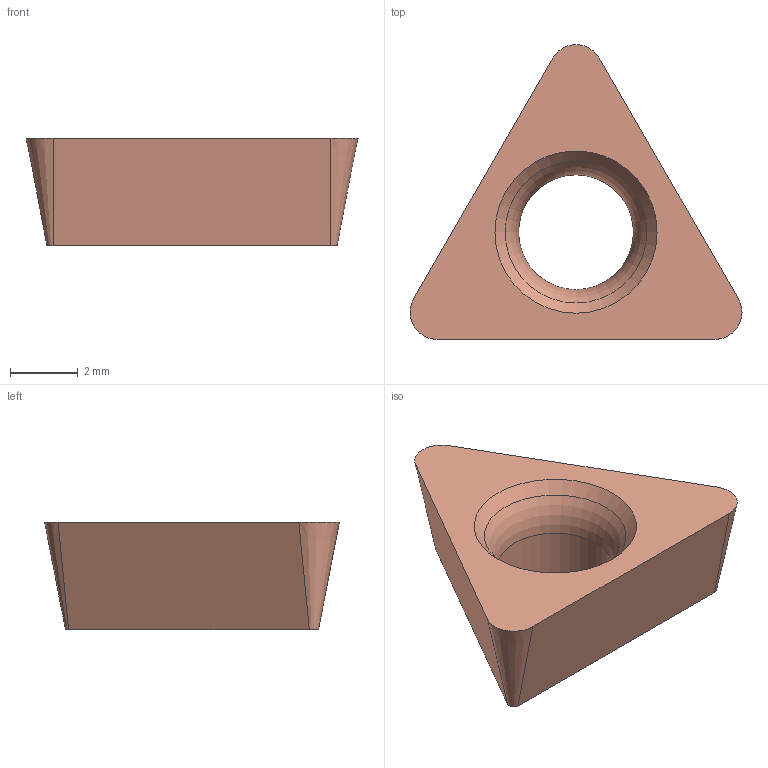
import cadquery as cq
import math

inscribed_diameter = 6.35
corner_radius = 0.8
thickness = 3.18
relief_angle = 11.0

hole_radius = 1.7
sink_radius = 2.4
seat_radius = 2.1
sink_half_angle = 40.0


def rounded_triangle(workplane, inset):
    """Triangle outline with one corner on +Y, moved inward by the inset."""
    radius = corner_radius - inset
    center_distance = 2 * (inscribed_diameter / 2 - corner_radius)

    def corner_point(corner, turn):
        axis = math.radians(90 + 120 * corner)
        direction = axis + math.radians(turn)
        return (
            center_distance * math.cos(axis) + radius * math.cos(direction),
            center_distance * math.sin(axis) + radius * math.sin(direction),
        )

    outline = workplane.moveTo(*corner_point(0, -60))
    for corner in range(3):
        if corner > 0:
            outline = outline.lineTo(*corner_point(corner, -60))
        outline = outline.threePointArc(corner_point(corner, 0), corner_point(corner, 60))
    return outline.close()


def insert_body():
    """Body that narrows downward, its corner radii shrinking with the flanks."""
    bottom_inset = thickness * math.tan(math.radians(relief_angle))
    bottom = rounded_triangle(cq.Workplane("XY"), bottom_inset)
    top = rounded_triangle(bottom.workplane(offset=thickness), 0)
    return top.loft(ruled=True)


def screw_hole():
    """Revolved cutter: conical mouth, tangent rounded throat, straight bore."""
    slope = math.radians(sink_half_angle)
    throat_radius = (seat_radius - hole_radius) / (1 - math.cos(slope))
    seat_z = thickness - (sink_radius - seat_radius) / math.tan(slope)
    throat_z = seat_z - throat_radius * math.sin(slope)
    throat_middle = (
        hole_radius + throat_radius * (1 - math.cos(slope / 2)),
        throat_z + throat_radius * math.sin(slope / 2),
    )
    return (
        cq.Workplane("XZ")
        .lineTo(hole_radius, 0)
        .lineTo(hole_radius, throat_z)
        .threePointArc(throat_middle, (seat_radius, seat_z))
        .lineTo(sink_radius, thickness)
        .lineTo(0, thickness)
        .close()
        .revolve(360, (0, 0, 0), (0, 1, 0))
    )


result = insert_body().cut(screw_hole())